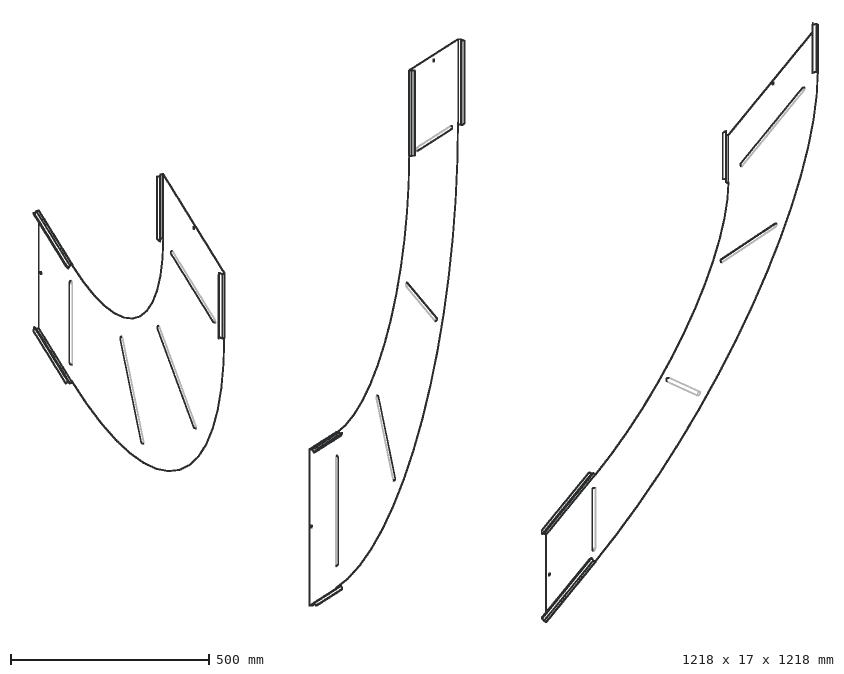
import cadquery as cq
import math


overall_size = 1218.0
overall_depth = 17.0
sheet_thickness = 1.0
outer_radius = 1000.0
sheet_width = 400.0
inner_radius = outer_radius - sheet_width
mean_radius = outer_radius - sheet_width / 2

flange_overhang = 2.0
wall_depth = 7.0
groove_depth = 7.0
flange_past_straight = 5.0
flange_corner_chamfer = 4.0
straight_length = overall_size - outer_radius - flange_overhang
flange_length = straight_length + flange_past_straight

bead_radius = 5.0
bead_length = 285.0
bead_base_fillet = 1.8
bead_angles = (0, 30)

hole_diameter = 6.0
hole_distance = 15.0

end_x = -straight_length
half_angle = 45


def on_arc(radius, angle):
    """X and Z of a point on the ring, at an angle in degrees from -Z toward +X."""
    turn = math.radians(angle)
    return radius * math.sin(turn), -radius * math.cos(turn)


def make_half_sheet():
    """Tongue along -X joined to one half of the quarter ring."""
    return (
        cq.Workplane("XZ")
        .moveTo(end_x, -inner_radius)
        .lineTo(0, -inner_radius)
        .threePointArc(on_arc(inner_radius, half_angle / 2), on_arc(inner_radius, half_angle))
        .lineTo(*on_arc(outer_radius, half_angle))
        .threePointArc(on_arc(outer_radius, half_angle / 2), on_arc(outer_radius, 0))
        .lineTo(end_x, -outer_radius)
        .close()
        .extrude(sheet_thickness)
    )


def make_flange(edge_z, inward):
    """Grooved flange along a tongue edge; inward is the Z sign toward the sheet's middle."""
    groove_half = (overall_depth - wall_depth) / 2
    groove_bottom_y = -wall_depth - groove_half
    slope_thickness = sheet_thickness * math.hypot(groove_depth, groove_half) / groove_half
    inner_bend_y = -wall_depth + groove_half * (slope_thickness - sheet_thickness) / groove_depth
    section = [
        (0, flange_overhang),
        (0, 0),
        (-wall_depth, 0),
        (groove_bottom_y, groove_depth),
        (-overall_depth, 0),
        (-overall_depth, slope_thickness),
        (groove_bottom_y, groove_depth + slope_thickness),
        (inner_bend_y, sheet_thickness),
        (-sheet_thickness, sheet_thickness),
        (-sheet_thickness, flange_overhang),
    ]
    outer_face_z = edge_z - inward * flange_overhang
    flange = (
        cq.Workplane("YZ", origin=(end_x, 0, 0))
        .polyline([(y, outer_face_z + inward * depth) for y, depth in section])
        .close()
        .extrude(flange_length)
    )
    far_x = end_x + flange_length
    for corner_x, along in ((end_x, 1), (far_x, -1)):
        corner = (
            cq.Workplane("XY", origin=(corner_x, -overall_depth, edge_z - overall_depth))
            .polyline([(0, 0), (along * flange_corner_chamfer, 0), (0, flange_corner_chamfer)])
            .close()
            .extrude(2 * overall_depth)
        )
        flange = flange.cut(corner)
    return flange


def make_bead():
    """Half-round bead with domed ends, lying radially across the sheet at -Z."""
    core_length = bead_length - 2 * bead_radius
    core_start = -mean_radius - core_length / 2
    axis_y = -sheet_thickness
    bead = cq.Workplane("XY", origin=(0, axis_y, core_start)).circle(bead_radius).extrude(core_length)
    for end_z in (core_start, core_start + core_length):
        bead = bead.union(cq.Workplane("XY", origin=(0, axis_y, end_z)).sphere(bead_radius))
    front_space = (
        cq.Workplane("XZ", origin=(0, 0, -mean_radius))
        .rect(2 * bead_length, 2 * bead_length)
        .extrude(overall_depth)
    )
    return bead.intersect(front_space)


def add_bead(sheet, angle):
    """Join a bead at an angle from -Z and round the corner around its base."""
    margin = 0.1
    base_edges = cq.selectors.BoxSelector(
        (-2 * bead_radius, -sheet_thickness - margin, -mean_radius - bead_length / 2 - margin),
        (2 * bead_radius, -sheet_thickness + margin, -mean_radius + bead_length / 2 + margin),
    )
    turned = sheet.rotate((0, 0, 0), (0, 1, 0), angle)
    turned = turned.union(make_bead()).edges(base_edges).fillet(bead_base_fillet)
    return turned.rotate((0, 0, 0), (0, 1, 0), -angle)


half = make_half_sheet()
half = half.union(make_flange(-inner_radius, -1))
half = half.union(make_flange(-outer_radius, 1))
for bead_angle in bead_angles:
    half = add_bead(half, bead_angle)
hole_centre = (end_x + hole_distance, -mean_radius)
hole = cq.Workplane("XZ").center(*hole_centre).circle(hole_diameter / 2).extrude(overall_depth)
half = half.cut(hole)
result = half.union(half.mirror((1, 0, 1)))